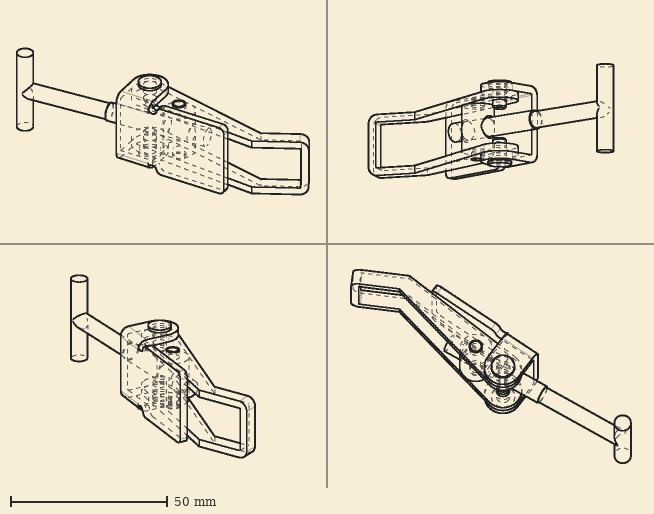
import cadquery as cq
import math


OVERALL_LENGTH = 104.8

SHEET = 2.5
INNER_BEND = 0.4
OUTER_BEND = INNER_BEND + SHEET

BRACKET_WIDTH = 24.9
LUG_RADIUS = 6.0
PLATE_BACK_Y = -11.0
PLATE_FRONT_Y = PLATE_BACK_Y + SHEET
PLATE_END_X = 34.1
PLATE_CORNER_RADIUS = 2.0
RELIEF_RADIUS = 1.5
RELIEF_DEPTH = 2.7

CROSSBAR_X = -42.8
CROSSBAR_Y = -6.1
CROSSBAR_DIAMETER = 5.3
CROSSBAR_LENGTH = 28.0
ROD_DIAMETER = 5.3
THREAD_DIAMETER = 6.1
THREAD_START = 30.0
BOLT_LENGTH = 64.8

LEVER_WIDTH = BRACKET_WIDTH - 2 * SHEET
LEVER_INNER_WIDTH = LEVER_WIDTH - 2 * SHEET
KNEE_X = 43.3
KNEE_BOTTOM_Y = -9.1
GRIP_ANGLE = math.radians(28)
GRIP_DEPTH = 4.9
TIP_X = CROSSBAR_X - CROSSBAR_DIAMETER / 2 + OVERALL_LENGTH
GRIP_LENGTH = (TIP_X - KNEE_X) / math.cos(GRIP_ANGLE)

HEAD_DIAMETER = 7.4
HEAD_HEIGHT = 0.9
SHANK_DIAMETER = 4.3
SHANK_STUB = 2.5
SHANK_CHAMFER = 0.5

BARREL_X = 11.8
BARREL_Y = -1.7
BARREL_DIAMETER = 10.4
TRUNNION_DIAMETER = 4.2
TRUNNION_CHAMFER = 0.3
COUNTERSINK_DIAMETER = 7.4

BOLT_ANGLE = math.atan2(BARREL_Y - CROSSBAR_Y, BARREL_X - CROSSBAR_X)
BOLT_DIRECTION = cq.Vector(math.cos(BOLT_ANGLE), math.sin(BOLT_ANGLE), 0)


def z_cylinder(x, y, diameter, length):
    """Cylinder along Z, centred on the mid-plane."""
    return cq.Workplane("XY").center(x, y).circle(diameter / 2).extrude(length / 2, both=True)


def cylinder_along_bolt(start, diameter, length):
    """Cylinder on the bolt axis, starting at a distance from the crossbar axis."""
    base = cq.Vector(CROSSBAR_X, CROSSBAR_Y, 0) + BOLT_DIRECTION * start
    return cq.Workplane(cq.Solid.makeCylinder(diameter / 2, length, base, BOLT_DIRECTION))


def make_plate():
    """Mounting plate beyond the lugs, with rounded corners and a round relief notch beside each lug."""
    half_width = BRACKET_WIDTH / 2
    notch_x = LUG_RADIUS + RELIEF_RADIUS
    notch_z = half_width - RELIEF_DEPTH + RELIEF_RADIUS
    shoulder_z = half_width - PLATE_CORNER_RADIUS
    centre_distance = RELIEF_RADIUS + PLATE_CORNER_RADIUS
    shoulder_x = notch_x + math.sqrt(centre_distance**2 - (notch_z - shoulder_z) ** 2)
    meeting_share = RELIEF_RADIUS / centre_distance
    meeting_x = notch_x + meeting_share * (shoulder_x - notch_x)
    meeting_z = notch_z + meeting_share * (shoulder_z - notch_z)
    half_plate = (
        cq.Workplane("XZ", origin=(0, PLATE_BACK_Y, 0))
        .moveTo(LUG_RADIUS, 0)
        .lineTo(LUG_RADIUS, notch_z)
        .threePointArc((notch_x, notch_z - RELIEF_RADIUS), (meeting_x, meeting_z))
        .tangentArcPoint((shoulder_x, half_width), relative=False)
        .lineTo(PLATE_END_X, half_width)
        .lineTo(PLATE_END_X, 0)
        .close()
        .extrude(-SHEET)
        .edges("|Y and >X and >Z")
        .fillet(PLATE_CORNER_RADIUS)
    )
    return half_plate.union(half_plate.mirror("XY"))


def make_bracket():
    lugs = (
        cq.Workplane("XY")
        .moveTo(-LUG_RADIUS, PLATE_BACK_Y)
        .lineTo(LUG_RADIUS, PLATE_BACK_Y)
        .lineTo(LUG_RADIUS, 0)
        .threePointArc((0, LUG_RADIUS), (-LUG_RADIUS, 0))
        .close()
        .extrude(BRACKET_WIDTH / 2, both=True)
        .edges("|X and <Y")
        .fillet(OUTER_BEND)
    )
    channel = (
        cq.Workplane("XY")
        .box(2 * LUG_RADIUS, LUG_RADIUS - PLATE_FRONT_Y, LEVER_WIDTH)
        .translate((0, (LUG_RADIUS + PLATE_FRONT_Y) / 2, 0))
        .edges("|X and <Y")
        .fillet(INNER_BEND)
    )
    bores = z_cylinder(0, 0, SHANK_DIAMETER, BRACKET_WIDTH)
    return lugs.cut(channel).union(make_plate()).cut(bores)


def tangent_point(x, y, side):
    """Point where the line from (x, y) touches the circle of LUG_RADIUS about the pivot."""
    angle = math.atan2(y, x) + side * math.acos(LUG_RADIUS / math.hypot(x, y))
    return (LUG_RADIUS * math.cos(angle), LUG_RADIUS * math.sin(angle))


def make_lever():
    along = (math.cos(GRIP_ANGLE), math.sin(GRIP_ANGLE))
    across = (-along[1], along[0])
    knee_bottom = (KNEE_X, KNEE_BOTTOM_Y)
    knee_top = (KNEE_X, KNEE_BOTTOM_Y + GRIP_DEPTH / along[0])
    tip_bottom = (KNEE_X + GRIP_LENGTH * along[0], KNEE_BOTTOM_Y + GRIP_LENGTH * along[1])
    tip_top = (tip_bottom[0] + GRIP_DEPTH * across[0], tip_bottom[1] + GRIP_DEPTH * across[1])
    tip_end = cq.selectors.DirectionMinMaxSelector(cq.Vector(*along, 0), True)
    body = (
        cq.Workplane("XY")
        .moveTo(*tangent_point(*knee_bottom, -1))
        .lineTo(*knee_bottom)
        .lineTo(*tip_bottom)
        .lineTo(*tip_top)
        .lineTo(*knee_top)
        .lineTo(*tangent_point(*knee_top, 1))
        .threePointArc((-LUG_RADIUS, 0), tangent_point(*knee_bottom, -1))
        .close()
        .extrude(LEVER_WIDTH / 2, both=True)
        .faces(tip_end)
        .edges("#Z")
        .fillet(OUTER_BEND)
    )
    tip_plane = cq.Plane(origin=(*tip_bottom, 0), xDir=(*across, 0), normal=(*along, 0))
    opening_size = 2 * (KNEE_X + GRIP_LENGTH)
    opening = (
        cq.Workplane(tip_plane)
        .workplane(offset=-SHEET)
        .rect(opening_size, LEVER_INNER_WIDTH)
        .extrude(-opening_size)
        .faces(tip_end)
        .edges("#Z")
        .fillet(INNER_BEND)
    )
    pivot_bores = z_cylinder(0, 0, SHANK_DIAMETER, LEVER_WIDTH)
    trunnion_bores = z_cylinder(BARREL_X, BARREL_Y, TRUNNION_DIAMETER, LEVER_WIDTH)
    return body.cut(opening).cut(pivot_bores).cut(trunnion_bores)


def make_rivet(side):
    """Rivet with its head on one lug; side is +1 for the +Z lug and -1 for the -Z lug."""
    shank_length = 2 * SHEET + SHANK_STUB
    rivet = (
        cq.Workplane("XY", origin=(0, 0, BRACKET_WIDTH / 2 - shank_length))
        .circle(SHANK_DIAMETER / 2)
        .extrude(shank_length)
        .faces("<Z")
        .chamfer(SHANK_CHAMFER)
        .faces(">Z")
        .workplane()
        .circle(HEAD_DIAMETER / 2)
        .extrude(HEAD_HEIGHT)
    )
    return rivet if side > 0 else rivet.mirror("XY")


def make_barrel_nut():
    trunnions = z_cylinder(BARREL_X, BARREL_Y, TRUNNION_DIAMETER, LEVER_WIDTH)
    trunnions = trunnions.faces("<Z or >Z").chamfer(TRUNNION_CHAMFER)
    nut = z_cylinder(BARREL_X, BARREL_Y, BARREL_DIAMETER, LEVER_INNER_WIDTH).union(trunnions)
    nut = nut.cut(cylinder_along_bolt(0, THREAD_DIAMETER, BOLT_LENGTH))
    cone_radius = COUNTERSINK_DIAMETER / 2
    for side in (-1, 1):
        outward = BOLT_DIRECTION * side
        mouth = cq.Vector(BARREL_X, BARREL_Y, 0) + outward * (BARREL_DIAMETER / 2)
        nut = nut.cut(cq.Workplane(cq.Solid.makeCone(cone_radius, 0, cone_radius, mouth, outward * -1)))
    return nut


def make_t_bolt():
    crossbar = z_cylinder(CROSSBAR_X, CROSSBAR_Y, CROSSBAR_DIAMETER, CROSSBAR_LENGTH)
    rod = cylinder_along_bolt(0, ROD_DIAMETER, THREAD_START)
    thread = cylinder_along_bolt(THREAD_START, THREAD_DIAMETER, BOLT_LENGTH - THREAD_START)
    return crossbar.union(rod).union(thread)


bracket = make_bracket()
lever = make_lever()
barrel_nut = make_barrel_nut()
t_bolt = make_t_bolt()
rivets = [make_rivet(side) for side in (1, -1)]

result = cq.Compound.makeCompound(
    [bracket.val(), lever.val(), barrel_nut.val(), t_bolt.val()] + [rivet.val() for rivet in rivets]
)